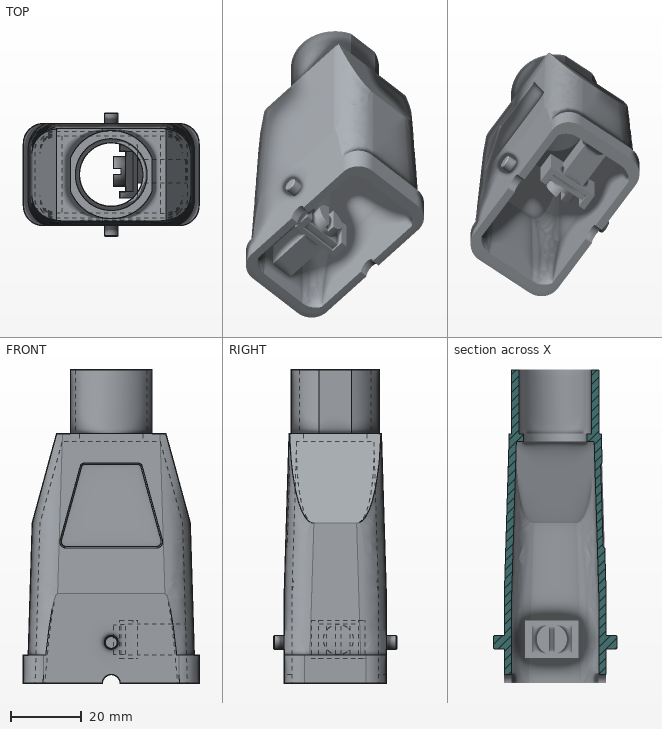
import cadquery as cq
import math

flange_length = 49.9
flange_width = 29.0
flange_height = 8.0
flange_radius = 5.8

hood_length = 47.1
hood_radius = 7.8
draft = math.tan(math.radians(1.75))
draft_start_z = 25.4
shoulder_z = 45.4
hood_top_z = 70.8
hood_top_length = 31.0
wall = 2.2

overall_height = 88.9
neck_diameter = 25.0
neck_across_flats = 23.2
bore_diameter = 20.4
entry_diameter = 18.0

pin_diameter = 3.9
pin_span = 35.0
pin_z = 11.65
pin_chamfer = 0.3
notch_diameter = 5.0

panel_bottom_z = 38.4
panel_top_z = 62.4
panel_bottom_width = 30.2
panel_top_width = 17.1
panel_depth = 0.45
panel_draft = 0.4
panel_bottom_radius = 1.8
panel_top_radius = 1.1

terminal_y = 0.9
terminal_z = 12.45
channel_height = 10.7
channel_front_x = 2.4
channel_back_x = 7.5
channel_width = 15.1
channel_arm = 1.9
clamp_height = 8.9
clamp_front_x = 4.1
clamp_back_x = 6.1
screw_head_diameter = 8.5
screw_tip_x = 0.6
screw_slot_width = 1.6
screw_slot_depth = 2.1
terminal_foot_width = 6.7


def hood_half_length(z):
    return hood_length / 2 - draft * (z - flange_height)


def hood_half_width(z):
    return flange_width / 2 - draft * (z - draft_start_z)


def rounded_section(z, inset):
    """Outline of the drafted hood at height z, moved inward by inset."""
    return (
        cq.Sketch()
        .rect(2 * (hood_half_length(z) - inset), 2 * (hood_half_width(z) - inset))
        .vertices()
        .fillet(hood_radius - inset)
        .moved(cq.Location(cq.Vector(0, 0, z)))
    )


def hood_solid(inset):
    """Drafted hood with sloping ends; a positive inset gives its cavity."""
    top_z = hood_top_z - inset
    drafted = (
        cq.Workplane("XY")
        .placeSketch(rounded_section(0, inset), rounded_section(top_z, inset))
        .loft(ruled=True)
    )
    base_x = hood_half_length(0) - inset
    shoulder_x = hood_half_length(shoulder_z) - inset
    top_x = hood_top_length / 2 - inset
    ends = (
        cq.Workplane("XZ")
        .polyline([
            (-base_x, 0),
            (base_x, 0),
            (shoulder_x, shoulder_z),
            (top_x, hood_top_z),
            (-top_x, hood_top_z),
            (-shoulder_x, shoulder_z),
        ])
        .close()
        .extrude(flange_width / 2 - inset, both=True)
    )
    return drafted.intersect(ends)


def flange():
    return (
        cq.Workplane("XY")
        .rect(flange_length, flange_width)
        .extrude(flange_height)
        .edges("|Z")
        .fillet(flange_radius)
    )


def neck():
    """Round neck with a flat on each X side."""
    height = overall_height - hood_top_z
    round_neck = cq.Workplane("XY", origin=(0, 0, hood_top_z)).circle(neck_diameter / 2).extrude(height)
    flats = (
        cq.Workplane("XY", origin=(0, 0, hood_top_z))
        .rect(neck_across_flats, neck_diameter)
        .extrude(height)
    )
    return round_neck.intersect(flats)


def locking_pins():
    """Stub on each long side, starting inside the wall."""
    pins = (
        cq.Workplane("XZ", origin=(0, 0, pin_z))
        .circle(pin_diameter / 2)
        .extrude(pin_span / 2, both=True)
        .faces("<Y or >Y")
        .chamfer(pin_chamfer)
    )
    hollow = cq.Workplane("XY").box(flange_length, flange_width - wall, overall_height)
    return pins.cut(hollow)


def panel_recess():
    """Shallow trapezoidal recess lying parallel to the drafted -Y side."""
    slant = math.sqrt(1 + draft ** 2)
    height = (panel_top_z - panel_bottom_z) * slant
    face = cq.Plane(
        origin=(0, -hood_half_width(panel_bottom_z), panel_bottom_z),
        xDir=(1, 0, 0),
        normal=(0, -1, draft),
    )
    prism = (
        cq.Workplane(face)
        .polyline([
            (-panel_bottom_width / 2, 0),
            (panel_bottom_width / 2, 0),
            (panel_top_width / 2, height),
            (-panel_top_width / 2, height),
        ])
        .close()
        .extrude(-panel_depth)
    )
    across_depth = cq.selectors.ParallelDirSelector(face.zDir)
    lower_half = cq.selectors.BoxSelector(
        (-flange_length, -flange_width, 0),
        (flange_length, flange_width, (panel_bottom_z + panel_top_z) / 2),
    )
    lower_corners = across_depth & lower_half
    upper_corners = across_depth - lower_half
    return (
        prism.edges(lower_corners)
        .fillet(panel_bottom_radius)
        .edges(upper_corners)
        .fillet(panel_top_radius)
        .faces(cq.selectors.DirectionMinMaxSelector(face.zDir, False))
        .chamfer(panel_draft)
    )


def earth_terminal():
    """U-shaped channel on a foot, holding a clamp plate and a slotted screw."""
    def block(front_x, back_x, width, height):
        size_x = back_x - front_x
        center = ((front_x + back_x) / 2, terminal_y, terminal_z)
        return cq.Workplane("XY", origin=center).box(size_x, width, height)

    inner_width = channel_width - 2 * channel_arm
    wall_x = hood_half_length(terminal_z) - wall / 2
    channel = block(channel_front_x, channel_back_x, channel_width, channel_height).cut(
        block(channel_front_x, clamp_back_x, inner_width, channel_height)
    )
    clamp = block(clamp_front_x, clamp_back_x, inner_width, clamp_height)
    foot = block(channel_back_x, wall_x, terminal_foot_width, clamp_height)
    screw = (
        cq.Workplane("YZ", origin=(screw_tip_x, terminal_y, terminal_z))
        .circle(screw_head_diameter / 2)
        .extrude(clamp_front_x - screw_tip_x)
    )
    slot = (
        cq.Workplane("YZ", origin=(screw_tip_x, terminal_y, terminal_z))
        .rect(screw_slot_width, screw_head_diameter)
        .extrude(screw_slot_depth)
    )
    return channel.union(clamp).union(foot).union(screw.cut(slot))


def vertical_opening(diameter, bottom_z):
    return (
        cq.Workplane("XY", origin=(0, 0, bottom_z))
        .circle(diameter / 2)
        .extrude(overall_height - bottom_z)
    )


notches = cq.Workplane("XZ").circle(notch_diameter / 2).extrude(flange_width, both=True)

result = (
    flange()
    .union(hood_solid(0))
    .union(neck())
    .cut(hood_solid(wall))
    .cut(vertical_opening(entry_diameter, shoulder_z))
    .cut(vertical_opening(bore_diameter, hood_top_z))
    .cut(panel_recess())
    .cut(notches)
    .union(locking_pins())
    .union(earth_terminal())
)